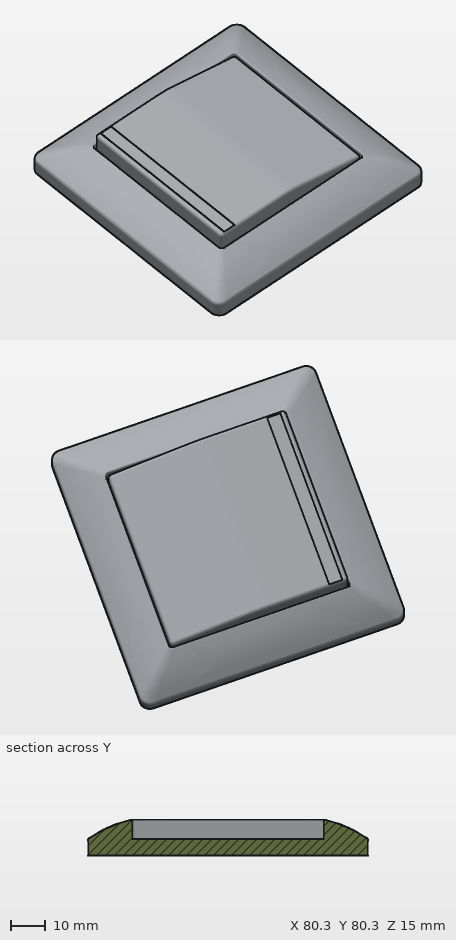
import cadquery as cq
import math

frame_side = 80.3
wall_height = 4.8
frame_corner_radius = 3.05
wall_fillet = 1.0
dome_bulge = 0.65
dome_top = 10.45
dome_steps = 4
pocket_side = 55.1
pocket_corner_radius = 1.0
pocket_fillet = 0.4
pocket_floor = wall_height

rocker_side = 54.0
rocker_height = 15.0
rocker_fillet = 1.05
slope_angle = 10
bend_radius = 29.7

strip_centre_y = -23.4
strip_width = 4.0
strip_depth = 0.1


def rounded_square(side, corner_radius, height):
    square = cq.Sketch().rect(side, side).vertices().fillet(corner_radius)
    return square.moved(cq.Location(cq.Vector(0, 0, height)))


def rounded_block(side, corner_radius, bottom, top):
    return cq.Workplane("XY").placeSketch(rounded_square(side, corner_radius, bottom)).extrude(top - bottom)


def make_dome():
    """Loft of rounded squares that follow a circular arc from the wall up to the pocket."""
    run = (frame_side - pocket_side) / 2
    rise = dome_top - wall_height
    chord = math.hypot(run, rise)
    arc_radius = (chord**2 / 4 + dome_bulge**2) / (2 * dome_bulge)
    half_sweep = math.asin(chord / 2 / arc_radius)
    chord_tilt = math.atan2(rise, run)
    foot_tilt = chord_tilt + half_sweep
    sections = []
    for step in range(dome_steps + 1):
        tilt = foot_tilt - 2 * half_sweep * step / dome_steps
        inset = arc_radius * (math.sin(foot_tilt) - math.sin(tilt))
        height = wall_height + arc_radius * (math.cos(tilt) - math.cos(foot_tilt))
        corner = frame_corner_radius + (pocket_corner_radius - frame_corner_radius) * inset / run
        sections.append(rounded_square(frame_side - 2 * inset, corner, height))
    return cq.Workplane("XY").placeSketch(*sections).loft()


def edges_at_height(height):
    """Selector for the edges that lie level at the given height."""
    margin = 0.1
    return cq.selectors.BoxSelector(
        (-frame_side, -frame_side, height - margin),
        (frame_side, frame_side, height + margin),
    )


def make_frame():
    wall = rounded_block(frame_side, frame_corner_radius, 0, wall_height)
    body = wall.union(make_dome())
    body = body.edges(edges_at_height(wall_height)).fillet(wall_fillet)
    body = body.cut(rounded_block(pocket_side, pocket_corner_radius, pocket_floor, dome_top))
    return body.edges(edges_at_height(dome_top)).fillet(pocket_fillet)


def make_rocker():
    """Rocker with a flat half, a sloping half and a rounded ridge between them."""
    half = rocker_side / 2
    low_height = rocker_height - half * math.tan(math.radians(slope_angle))
    body = (
        cq.Workplane("YZ", origin=(-half, 0, 0))
        .moveTo(-half, pocket_floor)
        .lineTo(half, pocket_floor)
        .lineTo(half, low_height)
        .lineTo(0, rocker_height)
        .lineTo(-half, rocker_height)
        .close()
        .extrude(rocker_side)
    )
    ridge = cq.selectors.NearestToPointSelector((0, 0, rocker_height))
    body = body.edges(ridge).fillet(bend_radius)
    body = body.edges("|Z").fillet(rocker_fillet)
    body = body.faces(">Z").edges("<Y").fillet(rocker_fillet)
    strip = cq.Workplane("XY", origin=(0, strip_centre_y, rocker_height)).box(
        rocker_side, strip_width, 2 * strip_depth
    )
    return body.cut(strip)


frame = make_frame()
rocker = make_rocker()

result = cq.Compound.makeCompound([frame.solids().val(), rocker.solids().val()])